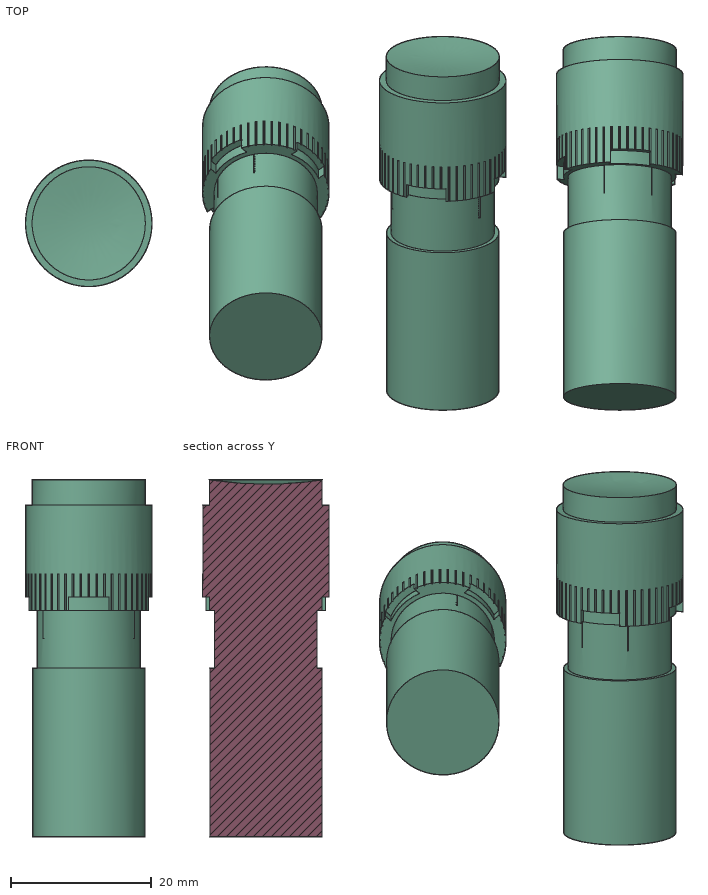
import cadquery as cq
import math

BODY_DIAMETER = 16.0
BODY_HEIGHT = 24.0
NECK_DIAMETER = 14.7
TOTAL_HEIGHT = 50.8

COLLAR_DIAMETER = 18.0
COLLAR_CORE_DIAMETER = 16.0
COLLAR_BOTTOM = 32.2
COLLAR_TOP = 47.2

CAP_DIAMETER = 16.1
DISH_DEPTH = 0.6

GROOVE_COUNT = 50
GROOVE_WIDTH = 0.26
GROOVE_DEPTH = 0.15
GROOVE_LENGTH = 5.2
FIRST_GROOVE_ANGLE = -90.0

NOTCH_COUNT = 4
NOTCH_WIDTH = 5.82
NOTCH_HEIGHT = 1.9

TONGUE_WIDTH = 6.78
SLIT_WIDTH = 0.08
SLIT_LENGTH = 4.0
SLIT_DEPTH = 0.2


def cylinder(diameter, bottom, top):
    """Upright cylinder on the Z axis between two heights."""
    return cq.Workplane("XY").workplane(offset=bottom).circle(diameter / 2).extrude(top - bottom)


def make_stepped_body():
    """Body, neck, collar and cap stacked on one axis."""
    body = cylinder(BODY_DIAMETER, 0, BODY_HEIGHT)
    neck = cylinder(NECK_DIAMETER, BODY_HEIGHT, COLLAR_BOTTOM)
    collar = cylinder(COLLAR_DIAMETER, COLLAR_BOTTOM, COLLAR_TOP)
    cap = cylinder(CAP_DIAMETER, COLLAR_TOP, TOTAL_HEIGHT)
    return body.union(neck).union(collar).union(cap)


def make_dish():
    """Sphere that meets the rim of the cap and reaches the dish depth at the centre."""
    rim_radius = CAP_DIAMETER / 2
    sphere_radius = (rim_radius**2 + DISH_DEPTH**2) / (2 * DISH_DEPTH)
    centre_height = TOTAL_HEIGHT - DISH_DEPTH + sphere_radius
    return cq.Workplane("XY").sphere(sphere_radius).translate((0, 0, centre_height))


def make_grooves():
    """V-shaped vertical grip grooves, open at the lower rim of the collar."""
    rim_radius = COLLAR_DIAMETER / 2
    mouth_radius = rim_radius + GROOVE_DEPTH
    groove = (
        cq.Workplane("XY")
        .workplane(offset=COLLAR_BOTTOM)
        .moveTo(rim_radius - GROOVE_DEPTH, 0)
        .lineTo(mouth_radius, GROOVE_WIDTH)
        .lineTo(mouth_radius, -GROOVE_WIDTH)
        .close()
        .extrude(GROOVE_LENGTH)
    )
    grooves = cq.Workplane("XY")
    for index in range(GROOVE_COUNT):
        angle = FIRST_GROOVE_ANGLE + index * 360 / GROOVE_COUNT
        grooves = grooves.add(groove.rotate((0, 0, 0), (0, 0, 1), angle))
    return grooves.combine()


def make_notches():
    """Notches through the collar wall down to the collar core."""
    notches = (
        cq.Workplane("XY")
        .workplane(offset=COLLAR_BOTTOM)
        .polarArray(COLLAR_DIAMETER / 2, 0, 360, NOTCH_COUNT)
        .rect(COLLAR_DIAMETER / 2, NOTCH_WIDTH)
        .extrude(NOTCH_HEIGHT)
    )
    core = cylinder(COLLAR_CORE_DIAMETER, COLLAR_BOTTOM, COLLAR_TOP)
    return notches.cut(core)


def make_slits():
    """Slits beside the latch tongues, running down from the collar."""
    slit_y = (TONGUE_WIDTH + SLIT_WIDTH) / 2
    surface_x = math.sqrt((NECK_DIAMETER / 2) ** 2 - slit_y**2)
    centres = [(side_x * surface_x, side_y * slit_y) for side_x in (-1, 1) for side_y in (-1, 1)]
    return (
        cq.Workplane("XY")
        .workplane(offset=COLLAR_BOTTOM - SLIT_LENGTH)
        .pushPoints(centres)
        .rect(2 * SLIT_DEPTH, SLIT_WIDTH)
        .extrude(SLIT_LENGTH)
    )


result = make_stepped_body().cut(make_dish()).cut(make_grooves()).cut(make_notches()).cut(make_slits())